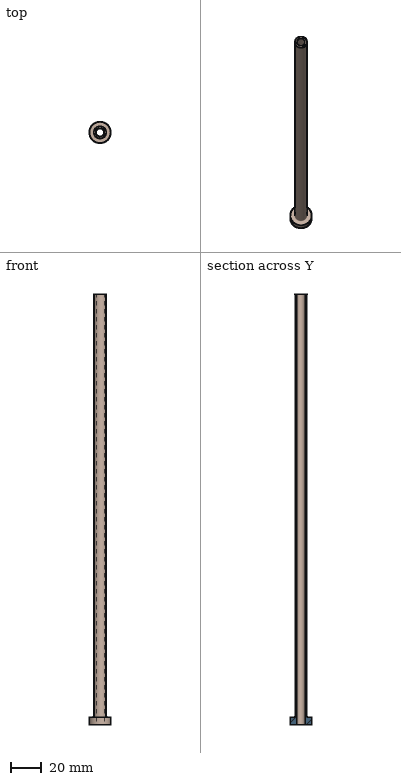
import cadquery as cq

total_length = 280.0
sleeve_diameter = 8.0
bore_diameter = 5.2
head_diameter = 14.0
head_height = 5.0
root_fillet_radius = 0.5

sleeve_radius = sleeve_diameter / 2
bore_radius = bore_diameter / 2
head_radius = head_diameter / 2


def make_sleeve():
    """Revolve the half section, including the fillet where the tube meets the head."""
    fillet_start = (sleeve_radius + root_fillet_radius, head_height)
    fillet_end = (sleeve_radius, head_height + root_fillet_radius)
    half_section = (
        cq.Workplane("XZ")
        .moveTo(-bore_radius, 0)
        .lineTo(-head_radius, 0)
        .lineTo(-head_radius, head_height)
        .lineTo(-fillet_start[0], fillet_start[1])
        .radiusArc((-fillet_end[0], fillet_end[1]), -root_fillet_radius)
        .lineTo(-sleeve_radius, total_length)
        .lineTo(-bore_radius, total_length)
        .close()
    )
    return half_section.revolve(360, (0, 0, 0), (0, 1, 0))


result = make_sleeve()